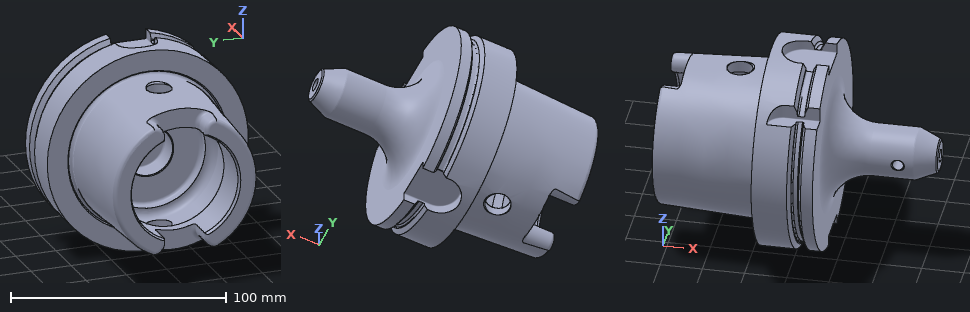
import cadquery as cq
import math


shank_length = 50.0
flange_width = 29.0
tip_x = 130.0 - shank_length
end_x = -shank_length

shank_end_radius = 35.5
shank_big_radius = 37.8
end_round = 2.0
shank_taper_end_x = -2.3

neck_radius = 37.7
neck_start_x = -1.5
undercut_start_x = -0.6
undercut_round = 1.4
undercut_outer_radius = 39.8

flange_radius = 49.98
groove_left_x = 16.8
groove_right_x = 23.4
groove_depth = 4.0
groove_wall_depth = 2.6
groove_wall_angle = 30.0
groove_round = 0.8

nose_radius = 12.5
flare_radius = 20.0
nose_taper_x = 69.4
nose_edge_round = 1.3
tip_radius = 7.9
tip_chamfer = 0.6

slot_half_width = 10.0
slot_ledge_z = 32.0
slot_flare_radius = 5.2
slot_floor_round = 2.0
slot_depth_top = 9.9
slot_depth_bottom = 15.0

entry_radius = 27.3
entry_length = 1.5
bore_radius = 26.45
clamp_shoulder_x = -30.0
clamp_radius = 31.6
clamp_angle = 60.0
clamp_end_x = -5.7
clamp_end_round = 3.9
cavity_floor_x = -1.3
cavity_floor_round = 1.5
pipe_thread_radius = 12.0
pipe_thread_mouth = 0.4
pipe_thread_depth = 10.4
pipe_thread_round = 0.8

cross_hole_x = -15.0
cross_hole_radius = 6.0
cross_hole_mouth = 0.5

tool_bore_radius = 3.0
tool_bore_depth = 36.0
radial_hole_x = 62.1
radial_hole_radius = 2.6
radial_hole_mouth = 0.5

key_start_x = 5.2
key_half_width = 9.9
key_floor_z = 44.0
corner_notch_start_x = 5.1
corner_notch_offset = 31.6
corner_notch_round = 7.8
notch_floor_round = 0.5

clear = 130.0
arc_middle = math.sqrt(0.5)


def circles_between(body, first_x, last_x):
    """Circular edges around the X axis, from first_x to last_x."""
    margin = 0.1
    region = cq.selectors.BoxSelector(
        (first_x - margin, -clear, -clear), (last_x + margin, clear, clear), boundingbox=True
    )
    return body.edges(region).edges("%CIRCLE")


def outer_body():
    groove_slope = groove_wall_depth * math.tan(math.radians(groove_wall_angle))
    groove_wall_radius = flange_radius - groove_wall_depth
    groove_floor_radius = flange_radius - groove_depth
    undercut_x = undercut_start_x + undercut_round
    flare_end_x = flange_width + flare_radius
    body = (
        cq.Workplane("XY")
        .moveTo(end_x, 0)
        .lineTo(end_x, shank_end_radius)
        .lineTo(shank_taper_end_x, shank_big_radius)
        .lineTo(neck_start_x, neck_radius)
        .lineTo(undercut_start_x, neck_radius)
        .threePointArc(
            (
                undercut_start_x + undercut_round * arc_middle,
                neck_radius + undercut_round * (1 - arc_middle),
            ),
            (undercut_x, neck_radius + undercut_round),
        )
        .lineTo(0, undercut_outer_radius)
        .lineTo(0, flange_radius)
        .lineTo(groove_left_x, flange_radius)
        .lineTo(groove_left_x + groove_slope, groove_wall_radius)
        .lineTo(groove_left_x + groove_slope, groove_floor_radius)
        .lineTo(groove_right_x - groove_slope, groove_floor_radius)
        .lineTo(groove_right_x - groove_slope, groove_wall_radius)
        .lineTo(groove_right_x, flange_radius)
        .lineTo(flange_width, flange_radius)
        .lineTo(flange_width, nose_radius + flare_radius)
        .threePointArc(
            (
                flare_end_x - flare_radius * arc_middle,
                nose_radius + flare_radius * (1 - arc_middle),
            ),
            (flare_end_x, nose_radius),
        )
        .lineTo(nose_taper_x, nose_radius)
        .lineTo(tip_x, tip_radius)
        .lineTo(tip_x, 0)
        .close()
        .revolve(360, (0, 0, 0), (1, 0, 0))
    )
    groove_floor = circles_between(body, groove_left_x + groove_slope, groove_right_x - groove_slope)
    body = groove_floor.edges(cq.selectors.RadiusNthSelector(0)).fillet(groove_round)
    body = circles_between(body, nose_taper_x, nose_taper_x).fillet(nose_edge_round)
    body = body.faces(">X").edges().chamfer(tip_chamfer)
    return body.faces("<X").edges().fillet(end_round)


def drive_slot(depth):
    """Cutter for the slot on the +Z side: narrow at the bore, flaring out into a flat ledge."""
    flare_y = slot_half_width + slot_flare_radius
    flare_z = slot_ledge_z - slot_flare_radius
    middle_y = flare_y - slot_flare_radius * arc_middle
    middle_z = flare_z + slot_flare_radius * arc_middle
    return (
        cq.Workplane("YZ", origin=(end_x - clear, 0, 0))
        .moveTo(-slot_half_width, 0)
        .lineTo(slot_half_width, 0)
        .lineTo(slot_half_width, flare_z)
        .threePointArc((middle_y, middle_z), (flare_y, slot_ledge_z))
        .lineTo(clear, slot_ledge_z)
        .lineTo(clear, clear)
        .lineTo(-clear, clear)
        .lineTo(-clear, slot_ledge_z)
        .lineTo(-flare_y, slot_ledge_z)
        .threePointArc((-middle_y, middle_z), (-slot_half_width, flare_z))
        .close()
        .extrude(clear + depth)
        .faces(">X")
        .edges()
        .fillet(slot_floor_round)
    )


def slotted_block():
    """Oversize block with both drive slots and rounded slot mouths, to trim the body with."""
    width = 2 * flange_radius + clear
    block = cq.Workplane("YZ", origin=(end_x, 0, 0)).rect(width, width).extrude(tip_x - end_x)
    block = block.cut(drive_slot(slot_depth_top)).cut(half_turn(drive_slot(slot_depth_bottom)))
    return block.faces("<X").edges().fillet(end_round)


def cavity():
    shoulder_length = (clamp_radius - bore_radius) / math.tan(math.radians(clamp_angle))
    main = (
        cq.Workplane("XY")
        .moveTo(end_x, 0)
        .lineTo(end_x, entry_radius)
        .lineTo(end_x + entry_length, bore_radius)
        .lineTo(clamp_shoulder_x, bore_radius)
        .lineTo(clamp_shoulder_x + shoulder_length, clamp_radius)
        .lineTo(clamp_end_x - clamp_end_round, clamp_radius)
        .threePointArc(
            (
                clamp_end_x - clamp_end_round * (1 - arc_middle),
                clamp_radius - clamp_end_round * (1 - arc_middle),
            ),
            (clamp_end_x, clamp_radius - clamp_end_round),
        )
        .lineTo(clamp_end_x, bore_radius)
        .lineTo(cavity_floor_x, bore_radius)
        .lineTo(cavity_floor_x, 0)
        .close()
        .revolve(360, (0, 0, 0), (1, 0, 0))
        .faces(">X")
        .edges()
        .fillet(cavity_floor_round)
    )
    thread = (
        cq.Workplane("YZ", origin=(cavity_floor_x, 0, 0))
        .circle(pipe_thread_radius)
        .extrude(pipe_thread_depth)
        .faces(">X")
        .edges()
        .fillet(pipe_thread_round)
    )
    mouth_cone = cq.Workplane(
        cq.Solid.makeCone(
            pipe_thread_radius + pipe_thread_mouth,
            pipe_thread_radius,
            pipe_thread_mouth,
            cq.Vector(cavity_floor_x, 0, 0),
            cq.Vector(1, 0, 0),
        )
    )
    return main.union(thread).union(mouth_cone)


def key_notch():
    """Cutter for the round-ended notch on the +Z side of the flange."""
    center_x = key_start_x + key_half_width
    return (
        cq.Workplane("XY", origin=(0, 0, key_floor_z))
        .moveTo(center_x, key_half_width)
        .threePointArc((key_start_x, 0), (center_x, -key_half_width))
        .lineTo(clear, -key_half_width)
        .lineTo(clear, key_half_width)
        .close()
        .extrude(clear)
        .faces("<Z")
        .edges()
        .fillet(notch_floor_round)
    )


def corner_notch():
    """Cutter for the notch on the -Y +Z side of the flange, with one round corner."""
    return (
        cq.Workplane("XY", origin=(corner_notch_start_x, -corner_notch_offset, corner_notch_offset))
        .box(clear, clear, clear, centered=False)
        .translate((0, -clear, 0))
        .edges("|Z and <X and >Y")
        .fillet(corner_notch_round)
        .faces("<Z")
        .edges()
        .fillet(notch_floor_round)
    )


def half_turn(cutter):
    return cutter.rotate((0, 0, 0), (1, 0, 0), 180)


def shank_surface_radius(x):
    taper = (shank_big_radius - shank_end_radius) / (shank_taper_end_x - end_x)
    return shank_end_radius + taper * (x - end_x)


def hole_mouth(x, surface_radius, hole_radius, size, direction):
    """Countersink for a hole entering a round surface radially."""
    return cq.Solid.makeCone(
        hole_radius + 2 * size,
        hole_radius,
        2 * size,
        cq.Vector(x, 0, 0) + direction * (surface_radius + size),
        direction * -1,
    )


up = cq.Vector(0, 0, 1)
front = cq.Vector(0, -1, 0)

result = outer_body().intersect(slotted_block())
result = result.cut(cavity())

result = result.cut(
    cq.Workplane("XY").center(cross_hole_x, 0).circle(cross_hole_radius).extrude(clear, both=True)
)
for side in (up, up * -1):
    surface = shank_surface_radius(cross_hole_x)
    result = result.cut(
        cq.Workplane(hole_mouth(cross_hole_x, surface, cross_hole_radius, cross_hole_mouth, side))
    )

result = result.cut(key_notch()).cut(half_turn(key_notch())).cut(corner_notch())

result = result.cut(
    cq.Workplane("YZ", origin=(tip_x, 0, 0)).circle(tool_bore_radius).extrude(-tool_bore_depth)
)
result = result.cut(
    cq.Workplane("XZ").center(radial_hole_x, 0).circle(radial_hole_radius).extrude(clear)
)
result = result.cut(
    cq.Workplane(hole_mouth(radial_hole_x, nose_radius, radial_hole_radius, radial_hole_mouth, front))
)